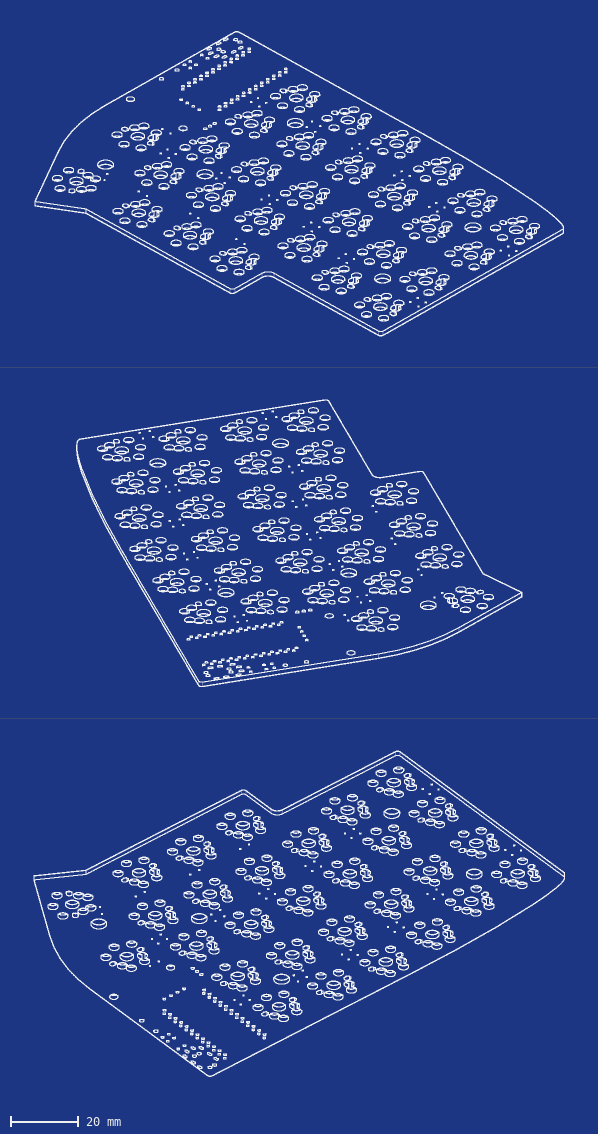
import cadquery as cq
import math

LENGTH = 142.5
WIDTH = 106.3
THICKNESS = 1.5

STEP_X = 95.5
STEP_Y = 22.8
THUMB_EDGE_Y = 7.8
THUMB_EDGE_START_X = 34.5
TIP_X = 21.0
TOP_CURVE_START_X = 78.4
TOP_CURVE_DROP = 6.8
SIDE_ARC_TURN = 30.0
SIDE_ARC_RADIUS = 54.2
CORNER_RADIUS = 1.0
INNER_RADIUS = 2.4

FIRST_COLUMN_X = 37.5
LAST_COLUMN_X = 132.8
TOP_KEY_Y = [93.5, 95.9, 97.2, 95.9, 91.0, 89.6]
ROWS = 4
KEY_PITCH = (LAST_COLUMN_X - FIRST_COLUMN_X) / (len(TOP_KEY_Y) - 1)
INNER_KEY = (18.4, 46.0)
THUMB_KEYS = [(47.0, 17.4), (66.1, 19.7), (85.2, 19.7)]
TURNED_KEY = (22.1, 16.4)
TURNED_KEY_ANGLE = -60.0

STEM_DIAMETER = 4.0
SOCKET_DIAMETER = 3.0
PEG_DIAMETER = 1.7
SOCKET_HOLES = [(2.5, 5.1), (3.8, 2.5), (5.0, -3.7)]
PEG_HOLES = [(5.1, 0), (5.5, 0)]
LOWER_HOLE = (0, -5.8)
KEY_HOLES = [
    ([(0, 0)], STEM_DIAMETER),
    ([(side * x, y) for side in (-1, 1) for x, y in SOCKET_HOLES] + [LOWER_HOLE], SOCKET_DIAMETER),
    ([(side * x, y) for side in (-1, 1) for x, y in PEG_HOLES], PEG_DIAMETER),
]

SCREW_DIAMETER = 4.7
SCREW_HOLES = [(46.6, 83.8), (122.9, 81.5), (46.6, 45.7), (122.9, 43.5), (22.1, 28.6)]

VIA_DIAMETER = 0.4
VIA_SPACING = 3.4
VIA_REPEAT_ROWS = 2
REPEATED_VIA_PAIRS = [
    (29.5, 85.4), (29.5, 82.5),
    (49.6, 87.8), (50.6, 84.7),
    (68.0, 89.2), (68.0, 86.1),
    (87.0, 87.8), (87.0, 84.7),
    (106.0, 83.1), (106.0, 80.1),
    (137.4, 81.7), (137.4, 78.5),
]
SINGLE_VIA_PAIRS = [(20.8, 53.9), (39.0, 25.5), (58.1, 27.8), (77.4, 27.8)]
TURNED_VIA_PAIR = (26.0, 25.5)

PIN_DIAMETER = 0.81
CONTROLLER_PINS = 12
CONTROLLER_TOP_Y = 102.2
CONTROLLER_BOTTOM_Y = 74.3
PIN_PITCH = (CONTROLLER_TOP_Y - CONTROLLER_BOTTOM_Y) / (CONTROLLER_PINS - 1)
CONTROLLER_ROWS_X = [9.3, 24.5]
CONTROLLER_SHIFT = (1.1, -1.2)
DISPLAY_PINS = 4
DISPLAY_FIRST_PIN = (13.8, 68.8)
LED_PINS = 3
LED_DIAMETER = 1.0
LED_FIRST_PIN = (29.8, 66.8)
LED_PITCH = 2.0
PAD_X = [1.5, 4.0]
PAD_Y = [90.0, 85.1, 82.7]
RESET_DIAMETER = 1.3
RESET_HOLES = [(2.0, 79.1), (2.0, 72.5)]
POST_DIAMETER = 2.4
POST_HOLES = [(3.0, 58.5), (25.0, 58.5)]

JACK_X = 4.0
JACK_PEG_DIAMETER = 1.2
JACK_PEG_OFFSET = 0.93
JACK_PEG_Y = [102.8, 95.6]
SLOT_LENGTH = 1.5
SLOT_WIDTH = 0.81
JACK_SLOTS = [(3.1, 100.8), (3.1, 97.8), (3.1, 93.9), (1.21, 92.5)]


def round_corner(body, x, y, radius):
    upright_edge = cq.selectors.NearestToPointSelector((x, y, THICKNESS / 2))
    return body.edges(upright_edge).fillet(radius)


def make_board():
    turn = math.radians(SIDE_ARC_TURN)
    arc_end_x = SIDE_ARC_RADIUS * (1 - math.cos(turn))
    arc_end_y = (TIP_X - arc_end_x) / math.tan(turn)
    arc_mid_x = SIDE_ARC_RADIUS * (1 - math.cos(turn / 2))
    arc_start_y = arc_end_y + SIDE_ARC_RADIUS * math.sin(turn)
    arc_mid_y = arc_start_y - SIDE_ARC_RADIUS * math.sin(turn / 2)
    board = (
        cq.Workplane("XY")
        .moveTo(TIP_X, 0)
        .lineTo(THUMB_EDGE_START_X, THUMB_EDGE_Y)
        .lineTo(STEP_X, THUMB_EDGE_Y)
        .lineTo(STEP_X, STEP_Y)
        .lineTo(LENGTH, STEP_Y)
        .lineTo(LENGTH, WIDTH - TOP_CURVE_DROP)
        .ellipseArc(LENGTH - TOP_CURVE_START_X, TOP_CURVE_DROP, 0, 90, startAtCurrent=True)
        .lineTo(0, WIDTH)
        .lineTo(0, arc_start_y)
        .threePointArc((arc_mid_x, arc_mid_y), (arc_end_x, arc_end_y))
        .close()
        .extrude(THICKNESS)
    )

    for x, y in [(0, WIDTH), (LENGTH, STEP_Y), (STEP_X, THUMB_EDGE_Y)]:
        board = round_corner(board, x, y, CORNER_RADIUS)
    return round_corner(board, STEP_X, STEP_Y, INNER_RADIUS)


def rotate(point, degrees):
    angle = math.radians(degrees)
    x, y = point
    return (x * math.cos(angle) - y * math.sin(angle), x * math.sin(angle) + y * math.cos(angle))


def shift(point, offset):
    return (point[0] + offset[0], point[1] + offset[1])


def drill(points, diameter):
    cylinders = cq.Workplane("XY").pushPoints(points).circle(diameter / 2).extrude(THICKNESS, combine=False)
    return cylinders.vals()


def key_cutter():
    cutter = cq.Workplane("XY")
    for points, diameter in KEY_HOLES:
        for point in points:
            cutter = cutter.union(cq.Workplane("XY").center(*point).circle(diameter / 2).extrude(THICKNESS))
    return cutter.val()


def key_positions():
    keys = [(INNER_KEY, 0)]
    keys += [(center, 0) for center in THUMB_KEYS]
    keys.append((TURNED_KEY, TURNED_KEY_ANGLE))
    for column, top_y in enumerate(TOP_KEY_Y):
        for row in range(ROWS):
            center = (FIRST_COLUMN_X + column * KEY_PITCH, top_y - row * KEY_PITCH)
            keys.append((center, 0))
    return keys


def key_cutters():
    cutter = key_cutter()
    return [
        cutter.moved(cq.Location(cq.Vector(x, y, 0), cq.Vector(0, 0, 1), angle))
        for (x, y), angle in key_positions()
    ]


def via_holes():
    pairs = [(pair, 0) for pair in REPEATED_VIA_PAIRS + SINGLE_VIA_PAIRS]
    pairs += [((x, y - VIA_REPEAT_ROWS * KEY_PITCH), 0) for x, y in REPEATED_VIA_PAIRS]
    pairs.append((TURNED_VIA_PAIR, TURNED_KEY_ANGLE))
    holes = []
    for left, angle in pairs:
        holes += [left, shift(left, rotate((VIA_SPACING, 0), angle))]
    return holes


def led_holes():
    return [shift(LED_FIRST_PIN, (0, -i * LED_PITCH)) for i in range(LED_PINS)]


def pin_holes():
    holes = []
    for x in CONTROLLER_ROWS_X:
        for i in range(CONTROLLER_PINS):
            pin = (x, CONTROLLER_TOP_Y - i * PIN_PITCH)
            holes += [pin, shift(pin, CONTROLLER_SHIFT)]
    holes += [shift(DISPLAY_FIRST_PIN, (i * PIN_PITCH, 0)) for i in range(DISPLAY_PINS)]
    holes += [(x, y) for x in PAD_X for y in PAD_Y]
    return holes


def jack_cutters():
    pegs = [(JACK_X + side * JACK_PEG_OFFSET, y) for side in (-1, 1) for y in JACK_PEG_Y]
    slots = [(JACK_X + side * x, y) for side in (-1, 1) for x, y in JACK_SLOTS]
    slot_bars = (
        cq.Workplane("XY")
        .pushPoints(slots)
        .slot2D(SLOT_LENGTH, SLOT_WIDTH, 90)
        .extrude(THICKNESS, combine=False)
    )
    return drill(pegs, JACK_PEG_DIAMETER) + slot_bars.vals()


cutters = key_cutters() + jack_cutters()
cutters += drill(SCREW_HOLES, SCREW_DIAMETER)
cutters += drill(via_holes(), VIA_DIAMETER)
cutters += drill(pin_holes(), PIN_DIAMETER)
cutters += drill(led_holes(), LED_DIAMETER)
cutters += drill(RESET_HOLES, RESET_DIAMETER)
cutters += drill(POST_HOLES, POST_DIAMETER)

result = cq.Workplane("XY").newObject([make_board().val().cut(*cutters)])